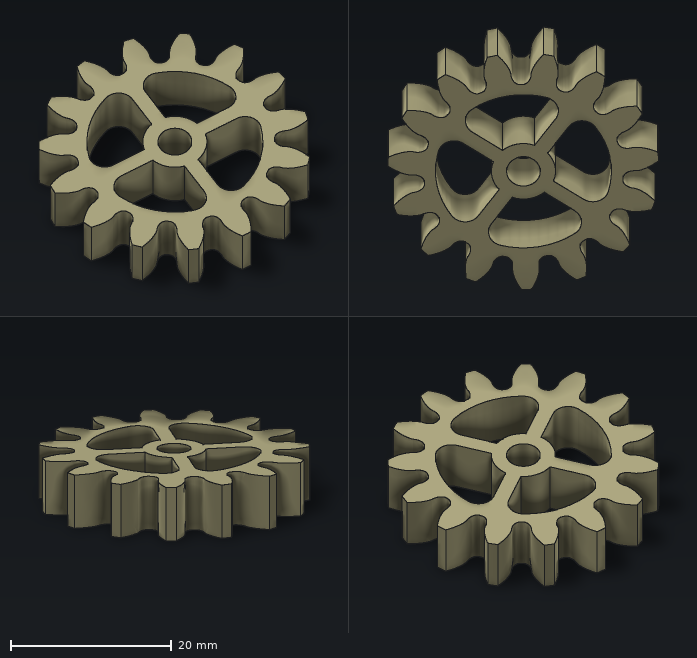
import cadquery as cq
import math

tooth_count = 15
pitch_radius = 15.0
addendum = 2.0
dedendum = 2.5
root_land_width = 0.3
pressure_angle = math.radians(20)
gear_width = 7.0

bore_diameter = 4.2
hub_radius = 4.0
spoke_count = 4
spoke_width = 2.0
rim_inner_radius = 11.0
pocket_fillet = 2.0

tip_radius = pitch_radius + addendum
root_radius = pitch_radius - dedendum
base_radius = pitch_radius * math.cos(pressure_angle)
tooth_pitch = 2 * math.pi / tooth_count
half_pitch = tooth_pitch / 2
flank_steps = 6
root_steps = 5


def involute(angle):
    """Angle swept by the involute at the given pressure angle."""
    return math.tan(angle) - angle


base_half_angle = tooth_pitch / 4 + involute(pressure_angle)

base_gap_angle = half_pitch - base_half_angle
land_half_angle = math.asin(root_land_width / 2 / root_radius)


def polar(radius, angle):
    return (radius * math.cos(angle), radius * math.sin(angle))


def rotated(point, angle):
    x, y = point
    return polar(math.hypot(x, y), math.atan2(y, x) + angle)


def mirrored(point):
    return (point[0], -point[1])


def upper_flank():
    """Involute points from the base circle to the tip, for a tooth centred on +X."""
    points = []
    for step in range(flank_steps + 1):
        radius = base_radius + (tip_radius - base_radius) * step / flank_steps
        angle = base_half_angle - involute(math.acos(min(1, base_radius / radius)))
        points.append(polar(radius, angle))
    return points


def upper_root_curve():
    """Points from the root land up to the involute, for a gap centred on +X."""
    land_x, land_y = polar(root_radius, land_half_angle)
    base_x, base_y = polar(base_radius, base_gap_angle)
    points = []
    for step in range(root_steps + 1):
        angle = math.pi / 2 * step / root_steps
        x = base_x - (base_x - land_x) * math.cos(angle)
        y = land_y + (base_y - land_y) * math.sin(angle)
        points.append((x, y))
    return points


def gear_blank():
    """Toothed disc with one tooth centred on +X."""
    upper = upper_flank()
    lower = [mirrored(point) for point in upper]
    gap_upper = upper_root_curve()
    gap_lower = [mirrored(point) for point in gap_upper]
    outline = cq.Workplane("XY").moveTo(*lower[0])
    for index in range(tooth_count):
        turn = index * tooth_pitch
        rising = [rotated(point, turn) for point in lower]
        falling = [rotated(point, turn) for point in reversed(upper)]
        gap_turn = turn + half_pitch
        sinking = [rotated(point, gap_turn) for point in reversed(gap_lower)]
        climbing = [rotated(point, gap_turn) for point in gap_upper]
        outline = outline.spline(rising[1:], includeCurrent=True)
        outline = outline.threePointArc(polar(tip_radius, turn), falling[0])
        outline = outline.spline(falling[1:], includeCurrent=True)
        outline = outline.spline(sinking[1:], includeCurrent=True)
        outline = outline.threePointArc(polar(root_radius, gap_turn), climbing[0])
        outline = outline.spline(climbing[1:], includeCurrent=True)
    return outline.close().extrude(gear_width)


def pocket():
    """Opening between the +X and +Y spokes, rounded where the spokes meet the rim."""
    edge = spoke_width / 2
    hub_reach = math.sqrt(hub_radius**2 - edge**2)
    fillet_offset = edge + pocket_fillet
    fillet_centre_radius = rim_inner_radius - pocket_fillet
    fillet_reach = math.sqrt(fillet_centre_radius**2 - fillet_offset**2)
    rim_angle = math.atan2(fillet_offset, fillet_reach)
    fillet_middle_angle = (rim_angle - math.pi / 2) / 2
    middle_x, middle_y = polar(pocket_fillet, fillet_middle_angle)
    fillet_middle = (fillet_reach + middle_x, fillet_offset + middle_y)
    diagonal = math.pi / 4
    return (
        cq.Workplane("XY")
        .moveTo(hub_reach, edge)
        .lineTo(fillet_reach, edge)
        .threePointArc(fillet_middle, polar(rim_inner_radius, rim_angle))
        .threePointArc(
            polar(rim_inner_radius, diagonal),
            polar(rim_inner_radius, math.pi / 2 - rim_angle),
        )
        .threePointArc((fillet_middle[1], fillet_middle[0]), (edge, fillet_reach))
        .lineTo(edge, hub_reach)
        .threePointArc(polar(hub_radius, diagonal), (hub_reach, edge))
        .close()
        .extrude(gear_width)
    )


bore = cq.Workplane("XY").circle(bore_diameter / 2).extrude(gear_width)
result = gear_blank().cut(bore)

single_pocket = pocket()
for index in range(spoke_count):
    turn_degrees = index * 360 / spoke_count
    result = result.cut(single_pocket.rotate((0, 0, 0), (0, 0, 1), turn_degrees))